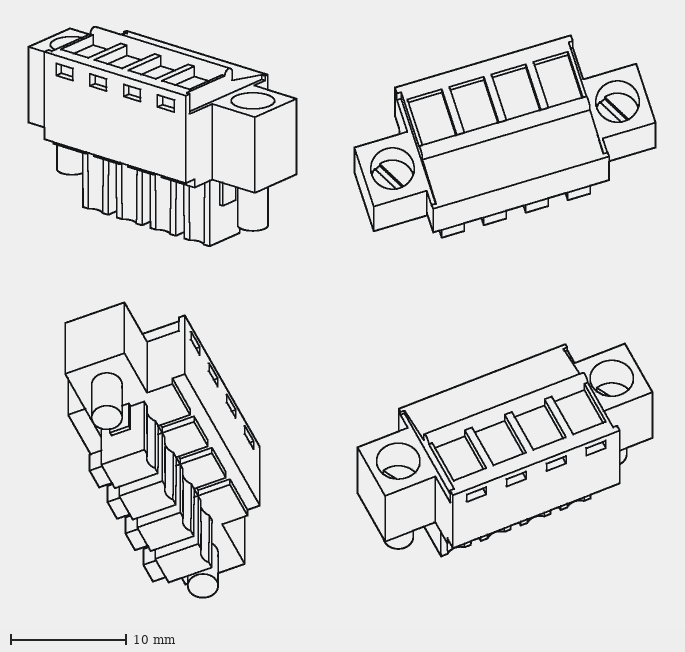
import cadquery as cq
import math


POLE_COUNT = 4
PITCH = 3.82
POLE_XS = [(i - (POLE_COUNT - 1) / 2) * PITCH for i in range(POLE_COUNT)]

OVERALL_LENGTH = 25.63
BODY_LENGTH = 16.0
BODY_FRONT_Y = -6.4
BODY_BACK_Y = 4.7
BODY_TOP_Z = 8.95
EAR_DEPTH = 5.65
EAR_TOP_Z = 7.07
BASE_FRONT_Y = -5.23
BASE_BACK_Y = EAR_DEPTH / 2
BASE_HEIGHT = 0.77

RIDGE_RADIUS = 0.5
RIDGE_Y = -0.15
RIDGE_BACK_Y = RIDGE_Y + RIDGE_RADIUS
RIDGE_FRONT_Y = RIDGE_Y - RIDGE_RADIUS
LIP_THICKNESS = 0.38
LIP_TOP_Z = 7.5
LIP_INNER_Y = BODY_BACK_Y - LIP_THICKNESS
SLOPE_ANGLE = 10.0
SLOPE_TOP_Z = LIP_TOP_Z + (LIP_INNER_Y - RIDGE_BACK_Y) * math.tan(math.radians(SLOPE_ANGLE))
LEDGE_WIDTH = 0.38
LEDGE_FRONT_Y = BODY_FRONT_Y + 0.56

POCKET_WIDTH = 3.13
POCKET_FRONT_Y = -5.05
POCKET_DEPTH = 0.95
WINDOW_WIDTH = 1.87
WINDOW_HEIGHT = 1.13
WINDOW_DEPTH = 0.7

TOWER_LENGTH = 6.65
TOWER_ROOT_WIDTH = 2.97
TOWER_TIP_WIDTH = 2.87
TOWER_FRONT_Y = -2.2
TOWER_BACK_Y = 1.9
GROOVE_ROOT_WIDTH = 1.8
GROOVE_TIP_WIDTH = 1.61
GROOVE_DEPTH = 0.3
LUG_WIDTH = 2.05
LUG_BACK_Y = 3.2
LUG_TOP_Z = -4.1
LUG_HEIGHT = 2.23

TAB_OUTER_X = 7.55
TAB_INNER_X = POLE_XS[-1] + TOWER_ROOT_WIDTH / 2
TAB_DEPTH = 1.8
TAB_LENGTH = 3.15

SCREW_X = 10.23
HEAD_DIAMETER = 3.77
HEAD_BOTTOM_Z = 2.05
HEAD_HEIGHT = 1.55
SHANK_DIAMETER = 2.65
SHANK_LENGTH = 4.55
SLOT_WIDTH = 0.62
SLOT_DEPTH = 0.5
SLOT_ANGLE = 28.0


def block(x_range, y_range, z_range):
    """Box spanning the given X, Y and Z ranges."""
    lows, highs = zip(x_range, y_range, z_range)
    sizes = [high - low for low, high in zip(lows, highs)]
    return cq.Workplane("XY").box(*sizes, centered=False).translate(lows)


def centred_range(centre, size):
    """Lower and upper limit of a range of the given size."""
    return (centre - size / 2, centre + size / 2)


def upright_cylinder(x, diameter, bottom_z, top_z):
    """Vertical cylinder on the line Y = 0."""
    return cq.Workplane("XY", origin=(x, 0, bottom_z)).circle(diameter / 2).extrude(top_z - bottom_z)


def make_body():
    """Main block: a side profile with lip, slope and ridge, drawn out along X."""
    return (
        cq.Workplane("YZ", origin=(-BODY_LENGTH / 2, 0, 0))
        .moveTo(BASE_BACK_Y, 0)
        .lineTo(BASE_BACK_Y, BASE_HEIGHT)
        .lineTo(BODY_BACK_Y, BASE_HEIGHT)
        .lineTo(BODY_BACK_Y, LIP_TOP_Z)
        .lineTo(LIP_INNER_Y, LIP_TOP_Z)
        .lineTo(RIDGE_BACK_Y, SLOPE_TOP_Z)
        .lineTo(RIDGE_BACK_Y, BODY_TOP_Z)
        .threePointArc((RIDGE_Y, BODY_TOP_Z + RIDGE_RADIUS), (RIDGE_FRONT_Y, BODY_TOP_Z))
        .lineTo(BODY_FRONT_Y, BODY_TOP_Z)
        .lineTo(BODY_FRONT_Y, BASE_HEIGHT)
        .lineTo(BASE_FRONT_Y, BASE_HEIGHT)
        .lineTo(BASE_FRONT_Y, 0)
        .close()
        .extrude(BODY_LENGTH)
    )


def make_end_ledges():
    """Cutters that set the upper part of both body ends back behind a ledge."""
    ledge_top = BODY_TOP_Z + RIDGE_RADIUS
    right = block(
        (BODY_LENGTH / 2 - LEDGE_WIDTH, BODY_LENGTH / 2),
        (LEDGE_FRONT_Y, LIP_INNER_Y),
        (EAR_TOP_Z, ledge_top),
    )
    return right.union(right.mirror("YZ"))


def make_ears():
    """Square screw ears at both body ends."""
    right = block(
        (BODY_LENGTH / 2, OVERALL_LENGTH / 2),
        centred_range(0, EAR_DEPTH),
        (0, EAR_TOP_Z),
    )
    return right.union(right.mirror("YZ"))


def make_tabs():
    """Thin tabs hanging from the underside, just outside the outer towers."""
    right = block((TAB_INNER_X, TAB_OUTER_X), centred_range(0, TAB_DEPTH), (-TAB_LENGTH, 0))
    return right.union(right.mirror("YZ"))


def make_housing():
    """Whole housing with its ledges, ears, tabs, pockets, notches and screw holes."""
    housing = make_body().cut(make_end_ledges()).union(make_ears()).union(make_tabs())

    for x in POLE_XS:
        pocket = block(
            centred_range(x, POCKET_WIDTH),
            (POCKET_FRONT_Y, RIDGE_FRONT_Y),
            (BODY_TOP_Z - POCKET_DEPTH, BODY_TOP_Z),
        )
        window = block(
            centred_range(x, WINDOW_WIDTH),
            (BODY_FRONT_Y, BODY_FRONT_Y + WINDOW_DEPTH),
            (EAR_TOP_Z, EAR_TOP_Z + WINDOW_HEIGHT),
        )
        housing = housing.cut(pocket).cut(window)

    for left_x, right_x in zip(POLE_XS, POLE_XS[1:]):
        notch = block(
            (left_x + TOWER_ROOT_WIDTH / 2, right_x - TOWER_ROOT_WIDTH / 2),
            (BASE_FRONT_Y, TOWER_FRONT_Y),
            (0, BASE_HEIGHT),
        )
        housing = housing.cut(notch)

    for x in (-SCREW_X, SCREW_X):
        housing = housing.cut(upright_cylinder(x, HEAD_DIAMETER, HEAD_BOTTOM_Z, EAR_TOP_Z))
        housing = housing.cut(upright_cylinder(x, SHANK_DIAMETER, 0, HEAD_BOTTOM_Z))
    return housing


def make_screw(x):
    """Slotted screw seated in an ear, with its shank reaching below the housing."""
    head_top_z = HEAD_BOTTOM_Z + HEAD_HEIGHT
    head = upright_cylinder(x, HEAD_DIAMETER, HEAD_BOTTOM_Z, head_top_z)
    shank = upright_cylinder(x, SHANK_DIAMETER, -SHANK_LENGTH, HEAD_BOTTOM_Z)
    slot = (
        cq.Workplane("XY", origin=(x, 0, head_top_z - SLOT_DEPTH))
        .transformed(rotate=(0, 0, SLOT_ANGLE))
        .rect(SLOT_WIDTH, 2 * HEAD_DIAMETER)
        .extrude(SLOT_DEPTH)
    )
    return head.union(shank).cut(slot)


def tower_section(x, z, width, groove_width):
    """Closed outline of a tower at height z, with a round groove in its front side."""
    return (
        cq.Workplane("XY", origin=(x, 0, z))
        .moveTo(-width / 2, TOWER_BACK_Y)
        .lineTo(-width / 2, TOWER_FRONT_Y)
        .lineTo(-groove_width / 2, TOWER_FRONT_Y)
        .threePointArc((0, TOWER_FRONT_Y + GROOVE_DEPTH), (groove_width / 2, TOWER_FRONT_Y))
        .lineTo(width / 2, TOWER_FRONT_Y)
        .lineTo(width / 2, TOWER_BACK_Y)
        .close()
        .val()
    )


def make_tower(x):
    """Tapered tower of one pole, with a lug on its back near the tip."""
    root = tower_section(x, 0, TOWER_ROOT_WIDTH, GROOVE_ROOT_WIDTH)
    tip = tower_section(x, -TOWER_LENGTH, TOWER_TIP_WIDTH, GROOVE_TIP_WIDTH)
    tower = cq.Workplane("XY").add(cq.Solid.makeLoft([tip, root], True))
    lug = block(
        centred_range(x, LUG_WIDTH),
        (TOWER_BACK_Y, LUG_BACK_Y),
        (LUG_TOP_Z - LUG_HEIGHT, LUG_TOP_Z),
    )
    return tower.union(lug)


housing = make_housing()
screws = [make_screw(x) for x in (-SCREW_X, SCREW_X)]
towers = [make_tower(x) for x in POLE_XS]

result = cq.Compound.makeCompound(
    [
        housing.val(),
        *[screw.val() for screw in screws],
        *[tower.val() for tower in towers],
    ]
)